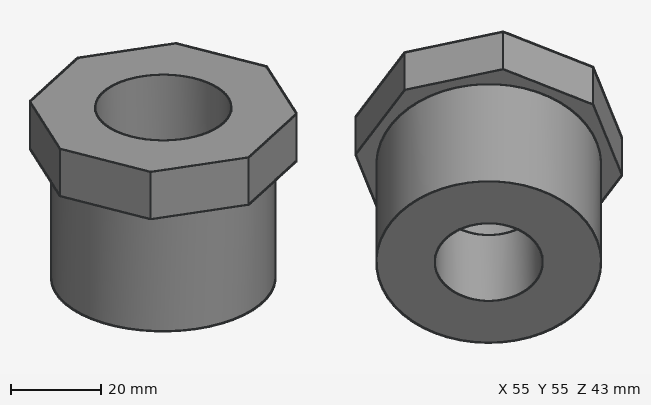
import cadquery as cq
import math

across_flats = 55.0
head_height = 12.0

total_height = 43.0
spigot_diameter = 49.95
spigot_height = total_height - head_height

socket_diameter = 30.25
socket_depth = 22.0
bore_diameter = 24.0


def make_spigot():
    return cq.Workplane("XY").circle(spigot_diameter / 2).extrude(spigot_height)


def make_head():
    """Regular octagon with flats facing X and Y."""
    sides = 8
    across_corners = across_flats / math.cos(math.pi / sides)
    return (
        cq.Workplane("XY", origin=(0, 0, spigot_height))
        .transformed(rotate=(0, 0, 180 / sides))
        .polygon(sides, across_corners)
        .extrude(head_height)
    )


body = make_spigot().union(make_head())

result = body.faces(">Z").workplane(origin=(0, 0, total_height)).cboreHole(
    bore_diameter, socket_diameter, socket_depth
)